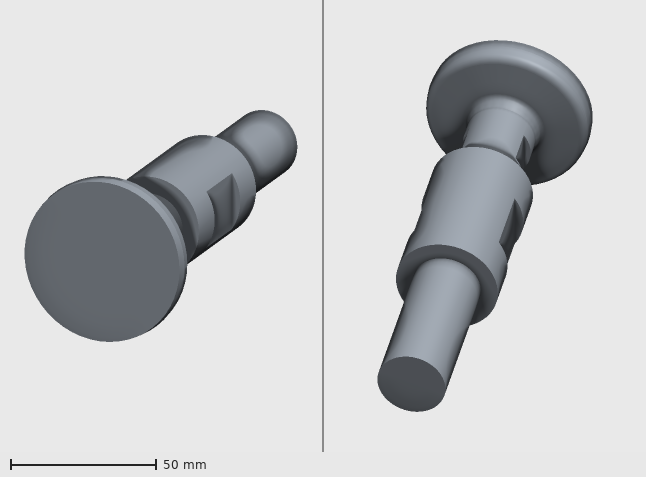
import cadquery as cq

TOTAL_LENGTH = 157.0
ROD_RADIUS = 24.0 / 2
SLEEVE_RADIUS = 36.0 / 2
RIM_RADIUS = 58.0 / 2

SOLE_RADIUS = 28.5
RIM_HEIGHT = 4.0
SHOULDER_RADIUS = 28.5
SHOULDER_HEIGHT = 7.2
PLATE_EDGE_RADIUS = 26.0
PLATE_EDGE_HEIGHT = 10.0
PLATE_INNER_RADIUS = 14.5
PLATE_INNER_HEIGHT = 12.1
NECK_RADIUS = 13.0
NECK_HEIGHT = 13.3
FOOT_HEIGHT = 16.6

SLEEVE_START = 46.5
SLEEVE_LENGTH = 55.1

ROD_FLATS_START = 23.7
ROD_FLATS_LENGTH = 12.9
ROD_ACROSS_FLATS = 19.2
SLEEVE_FLATS_LENGTH = 24.6
SLEEVE_FLATS_START = SLEEVE_START + (SLEEVE_LENGTH - SLEEVE_FLATS_LENGTH) / 2
SLEEVE_ACROSS_FLATS = 29.8


def cylinder(radius, start, length):
    """Cylinder along +Y, beginning at the given height."""
    return cq.Workplane("XZ", origin=(0, start, 0)).circle(radius).extrude(-length)


def cut_wrench_flats(body, radius, start, length, across_flats):
    """Cut two opposite flats into a round body of the given radius."""
    cutter_size = 2 * radius
    cutter_offset = (across_flats + cutter_size) / 2
    for side in (-1, 1):
        cutter = cq.Workplane("XY").box(cutter_size, length, cutter_size)
        body = body.cut(cutter.translate((side * cutter_offset, start + length / 2, 0)))
    return body


def make_spindle():
    """Round foot plate and the long rod rising from it, revolved about the Y axis."""
    spindle = (
        cq.Workplane("XY")
        .moveTo(0, TOTAL_LENGTH)
        .lineTo(ROD_RADIUS, TOTAL_LENGTH)
        .lineTo(ROD_RADIUS, FOOT_HEIGHT)
        .lineTo(NECK_RADIUS, NECK_HEIGHT)
        .tangentArcPoint((PLATE_INNER_RADIUS, PLATE_INNER_HEIGHT), relative=False)
        .lineTo(PLATE_EDGE_RADIUS, PLATE_EDGE_HEIGHT)
        .tangentArcPoint((SHOULDER_RADIUS, SHOULDER_HEIGHT), relative=False)
        .lineTo(RIM_RADIUS, RIM_HEIGHT)
        .lineTo(SOLE_RADIUS, 0)
        .lineTo(0, 0)
        .close()
        .revolve(360, (0, 0, 0), (0, 1, 0))
    )
    return cut_wrench_flats(spindle, ROD_RADIUS, ROD_FLATS_START, ROD_FLATS_LENGTH, ROD_ACROSS_FLATS)


def make_sleeve():
    """Sleeve with a through bore that fits the rod."""
    sleeve = cylinder(SLEEVE_RADIUS, SLEEVE_START, SLEEVE_LENGTH)
    sleeve = sleeve.cut(cylinder(ROD_RADIUS, SLEEVE_START, SLEEVE_LENGTH))
    return cut_wrench_flats(
        sleeve, SLEEVE_RADIUS, SLEEVE_FLATS_START, SLEEVE_FLATS_LENGTH, SLEEVE_ACROSS_FLATS
    )


spindle = make_spindle()
sleeve = make_sleeve()
result = cq.Compound.makeCompound([spindle.val(), sleeve.val()])